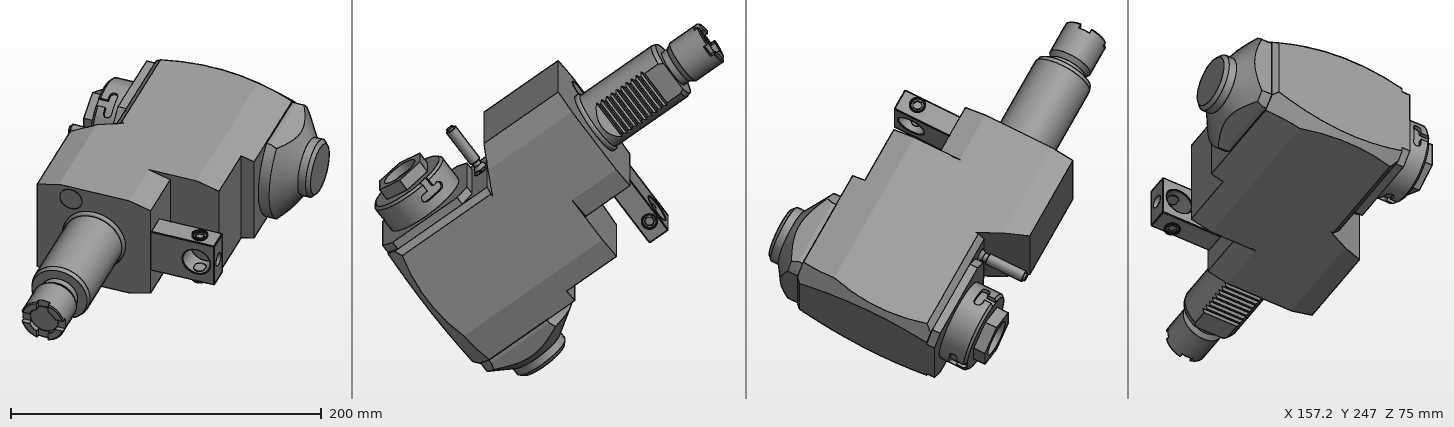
import cadquery as cq
import math


half_height = 37.5
base_left = -39.5
base_right = 38.8
base_depth = 35.0
middle_right = 72.4
head_start = 74.8
head_left = -14.5
head_right = 81.3
back = 154.0
slope_start = 59.3
slope_end_x = -8.6
corner_chamfer = 3.2
bevel_slope = math.tan(math.radians(15))
base_left_bevel = 15.3
base_right_bevel = 14.8
head_right_bevel = 24.2
head_left_bevel = 4.2
barrel_x = 23.2
barrel_y = 29.1
barrel_radius = 121.0

plug_step = 0.2
front_plug_x = -16.3
front_plug_z = 27.7
front_plug_radius = 7.7

collar_radius = 21.5
collar_length = 3.0
collar_round = 1.2
shank_radius = 20.0
shank_length = 62.7
shank_chamfer_length = 3.0
shank_chamfer_depth = 1.0
neck_radius = 12.5
neck_length = 4.5
neck_taper = 3.5
drive_radius = 14.8
drive_end = 93.0
drive_chamfer = 0.7
drive_bore_radius = 9.6
drive_bore_depth = 3.7
drive_slot_width = 8.0
drive_slot_depth = 3.2
drive_slots = 4

flat_depth = 15.8
flat_start = 4.7
first_tooth = 11.9
tooth_pitch = 4.0
tooth_gaps = 10
tooth_depth = 1.5

spindle_y = 120.3
plate_half_width = 33.3
plate_chamfer = 8.0
plate_left = -20.3
nut_radius = 27.2
nut_left = -39.5
nut_chamfer = 1.7
nut_slots = 3
nut_slot_depth = 2.5
nut_slot_width = 5.5
nut_slot_x = -30.1
nut_slot_half_angle = 19.0
hex_left = -47.7
hex_across_flats = 32.0
hex_bore_radius = 12.0
hex_bore_depth = 5.7

flange_radius = 37.8
flange_right = 88.7
flange_half_width = 30.0
flange_bevel_x = 84.2
cone_right = 101.3
knob_radius = 19.3
knob_right = 109.2
knob_chamfer = 2.5

nozzle_y = 80.3
nozzle_z = 17.5
nozzle_tip_left = -48.0
nozzle_tip_radius = 2.5
nozzle_radius = 3.7
nozzle_left = -46.5
nozzle_neck_left = -20.3
nozzle_neck_radius = 2.7
nozzle_root_left = -17.3
nozzle_root_radius = 4.7
nozzle_plug_z = 10.4
nozzle_plug_radius = 4.5
nozzle_plug_pip_radius = 1.0

arm_right = 82.3
arm_front = 1.0
arm_back = 16.0
arm_half_height = 15.8
bore_x = 70.0
arm_chamfer = 0.5
bore_radius = 9.5
bore_chamfer = 0.5
outlet_radius = 4.5
screw_y = 7.2
screw_radius = 4.2
screw_inner_end = 8.6
screw_head_radius = 5.2
screw_head_bottom = 17.0
screw_head_top = 17.8
screw_rim_radius = 4.5
screw_rim_depth = 0.5
screw_socket_size = 6.5
screw_socket_depth = 3.7


def box(x0, x1, y0, y1, z0, z1):
    """Box between two opposite corners."""
    return cq.Workplane("XY").box(x1 - x0, y1 - y0, z1 - z0, centered=False).translate((x0, y0, z0))


def x_cylinder(radius, x0, x1, y=spindle_y, z=0.0):
    """Cylinder along X between x0 and x1."""
    return cq.Workplane("YZ", origin=(x0, y, z)).circle(radius).extrude(x1 - x0)


def x_turned(points, y, z=0.0):
    """Solid turned about an axis along X, from (x, radius) points."""
    return cq.Workplane("XY").polyline(points).close().revolve(360, (0, 0), (1, 0)).translate((0, y, z))


def beveled_bar(left, left_bevel, left_drop, right, right_bevel, y0, y1):
    """Bar along Y whose side edges are beveled top and bottom."""
    right_drop = right_bevel * bevel_slope
    upper = [
        (left, half_height - left_drop),
        (left + left_bevel, half_height),
        (right - right_bevel, half_height),
        (right, half_height - right_drop),
    ]
    lower = [(x, -z) for x, z in reversed(upper)]
    section = cq.Workplane("XZ", origin=(0, y0, 0)).polyline(upper + lower).close()
    return section.extrude(y0 - y1)


def make_housing():
    outline = [
        (base_left, 0),
        (base_right, 0),
        (base_right, base_depth),
        (middle_right, base_depth),
        (middle_right, head_start),
        (head_right, head_start),
        (head_right, back - corner_chamfer),
        (head_right - corner_chamfer, back),
        (head_left, back),
        (head_left, head_start),
        (slope_end_x, head_start),
        (base_left, slope_start),
    ]
    housing = cq.Workplane("XY").polyline(outline).close().extrude(half_height, both=True)

    base_drop = base_left_bevel * bevel_slope
    base = beveled_bar(
        base_left, base_left_bevel, base_drop, base_right, base_right_bevel, 0, base_depth
    )
    middle = beveled_bar(
        base_left, base_left_bevel, base_drop, head_right, head_right_bevel, base_depth, head_start
    )
    head = beveled_bar(
        head_left, head_left_bevel, head_left_bevel, head_right, head_right_bevel, head_start, back
    )
    housing = housing.intersect(base.union(middle).union(head))

    barrel_profile = [
        (0, -half_height),
        (barrel_radius, -half_height),
        (barrel_radius + half_height, 0),
        (barrel_radius, half_height),
        (0, half_height),
    ]
    barrel = cq.Workplane("XZ").polyline(barrel_profile).close().revolve(360, (0, 0), (0, 1))
    housing = housing.intersect(barrel.translate((barrel_x, barrel_y, 0)))

    plug = cq.Workplane("XZ", origin=(front_plug_x, 0, front_plug_z)).circle(front_plug_radius)
    return housing.cut(plug.extrude(-plug_step))


def make_shank():
    neck_end = shank_length + neck_length
    profile = [
        (0, base_depth),
        (neck_radius, base_depth),
        (neck_radius, 0),
        (shank_radius, 0),
        (shank_radius, -shank_length + shank_chamfer_length),
        (shank_radius - shank_chamfer_depth, -shank_length),
        (neck_radius, -shank_length),
        (neck_radius, -neck_end),
        (drive_radius, -neck_end - neck_taper),
        (drive_radius, -drive_end + drive_chamfer),
        (drive_radius - drive_chamfer, -drive_end),
        (0, -drive_end),
    ]
    shank = cq.Workplane("XY").polyline(profile).close().revolve(360, (0, 0), (0, 1))

    collar = cq.Workplane("XZ").circle(collar_radius).extrude(collar_length)
    shank = shank.union(collar.faces("<Y").edges().fillet(collar_round))

    bore = cq.Workplane("XZ", origin=(0, -drive_end, 0)).circle(drive_bore_radius)
    shank = shank.cut(bore.extrude(-drive_bore_depth))
    slot = box(
        0, drive_end, -drive_end, drive_slot_depth - drive_end, -drive_slot_width / 2, drive_slot_width / 2
    )
    for i in range(drive_slots):
        shank = shank.cut(slot.rotate((0, 0, 0), (0, 1, 0), i * 360 / drive_slots))
    return shank.cut(make_shank_teeth())


def make_shank_teeth():
    """Material removed below the shank: a flat with V gaps across it."""
    run_in = collar_radius - flat_depth
    floor = [
        (-flat_start, -collar_radius),
        (-flat_start - run_in, -flat_depth),
    ]
    for i in range(tooth_gaps):
        gap = -first_tooth - i * tooth_pitch
        if i > 0:
            floor.append((gap + tooth_depth, -flat_depth))
        floor.append((gap, tooth_depth - flat_depth))
        floor.append((gap - tooth_depth, -flat_depth))
    floor.append((-shank_length, -flat_depth))
    floor.append((-shank_length, -collar_radius))
    return cq.Workplane("YZ").polyline(floor).close().extrude(collar_radius, both=True)


def make_nut():
    nut = x_cylinder(nut_radius, nut_left, plate_left).faces("<X").chamfer(nut_chamfer)
    floor_radius = nut_radius - nut_slot_depth
    span = 2 * nut_radius * math.sin(math.radians(nut_slot_half_angle))

    rim_slot = cq.Workplane("XZ", origin=(nut_slot_x, spindle_y, 0)).slot2D(span, nut_slot_width, 90)
    cutter = rim_slot.extrude(-2 * nut_radius)
    half_width = nut_slot_width / 2
    groove = box(
        nut_left, nut_slot_x, spindle_y, spindle_y + 2 * nut_radius, -half_width, half_width
    )
    cutter = cutter.union(groove).cut(x_cylinder(floor_radius, nut_left, plate_left))
    axis_start = (0, spindle_y, 0)
    axis_end = (1, spindle_y, 0)
    for i in range(nut_slots):
        nut = nut.cut(cutter.rotate(axis_start, axis_end, i * 360 / nut_slots))
    return nut


def make_left_spindle():
    plate = cq.Workplane("YZ", origin=(plate_left, spindle_y, 0))
    plate = plate.rect(2 * (back - spindle_y), 2 * plate_half_width).extrude(head_left - plate_left)
    plate = plate.edges("|X").chamfer(plate_chamfer)

    corner_diameter = hex_across_flats / math.cos(math.radians(30))
    hexagon = cq.Workplane("YZ", origin=(hex_left, spindle_y, 0)).polygon(6, corner_diameter)
    hexagon = hexagon.extrude(nut_left - hex_left).rotate((0, spindle_y, 0), (1, spindle_y, 0), 30)
    hexagon = hexagon.cut(x_cylinder(hex_bore_radius, hex_left, hex_left + hex_bore_depth))
    return plate.union(make_nut()).union(hexagon)


def make_right_spindle():
    turned = [
        (head_right, 0),
        (head_right, flange_radius),
        (flange_right, flange_radius),
        (cone_right, knob_radius),
        (knob_right - knob_chamfer, knob_radius),
        (knob_right, knob_radius - knob_chamfer),
        (knob_right, 0),
    ]
    flange = x_turned(turned, spindle_y)

    end_half_width = flange_half_width - (knob_right - flange_bevel_x) * bevel_slope
    upper = [
        (head_right, flange_half_width),
        (flange_bevel_x, flange_half_width),
        (knob_right, end_half_width),
    ]
    lower = [(x, -z) for x, z in reversed(upper)]
    y_back = spindle_y + flange_half_width
    envelope = cq.Workplane("XZ", origin=(0, y_back, 0)).polyline(upper + lower).close()
    return flange.intersect(envelope.extrude(flange_half_width + flange_radius))


def make_nozzle():
    turned = [
        (nozzle_tip_left, 0),
        (nozzle_tip_left, nozzle_tip_radius),
        (nozzle_left, nozzle_tip_radius),
        (nozzle_left, nozzle_radius),
        (nozzle_neck_left, nozzle_radius),
        (nozzle_neck_left, nozzle_neck_radius),
        (nozzle_root_left, nozzle_neck_radius),
        (head_left, nozzle_root_radius),
        (head_left, 0),
    ]
    return x_turned(turned, nozzle_y, nozzle_z)


def make_nozzle_plug_seat():
    """Shallow ring round the plug below the nozzle, leaving its centre pip standing."""
    end = head_left + plug_step
    seat = x_cylinder(nozzle_plug_radius, head_left, end, nozzle_y, nozzle_plug_z)
    return seat.cut(x_cylinder(nozzle_plug_pip_radius, head_left, end, nozzle_y, nozzle_plug_z))


def make_screw():
    """Upper clamping screw, with a recessed rim and a hexagon socket in its head."""
    head_height = screw_head_top - screw_head_bottom
    axis = cq.Workplane("XY", origin=(bore_x, screw_y, 0))
    screw = axis.workplane(offset=screw_inner_end).circle(screw_radius)
    screw = screw.extrude(screw_head_top - screw_inner_end)
    head = axis.workplane(offset=screw_head_bottom).circle(screw_head_radius).extrude(head_height)
    rim = axis.workplane(offset=screw_head_top).circle(screw_rim_radius).extrude(-screw_rim_depth)
    socket = axis.workplane(offset=screw_head_top).polygon(6, screw_socket_size)
    return screw.union(head).cut(rim).cut(socket.extrude(-screw_socket_depth))


def make_arm():
    arm = box(base_right, arm_right, arm_front, arm_back, -arm_half_height, arm_half_height)
    arm = arm.edges("not <X").chamfer(arm_chamfer)

    depth = arm_back - arm_front
    bore_profile = [
        (0, 0),
        (bore_radius + bore_chamfer, 0),
        (bore_radius, bore_chamfer),
        (bore_radius, depth - bore_chamfer),
        (bore_radius + bore_chamfer, depth),
        (0, depth),
    ]
    bore = cq.Workplane("XY").polyline(bore_profile).close().revolve(360, (0, 0), (0, 1))
    arm = arm.cut(bore.translate((bore_x, arm_front, 0)))
    arm = arm.cut(x_cylinder(outlet_radius, bore_x, arm_right, (arm_front + arm_back) / 2))
    screw = make_screw()
    return arm.union(screw).union(screw.mirror("XY"))


result = (
    make_housing()
    .cut(make_nozzle_plug_seat())
    .union(make_shank())
    .union(make_left_spindle())
    .union(make_right_spindle())
    .union(make_nozzle())
    .union(make_arm())
)